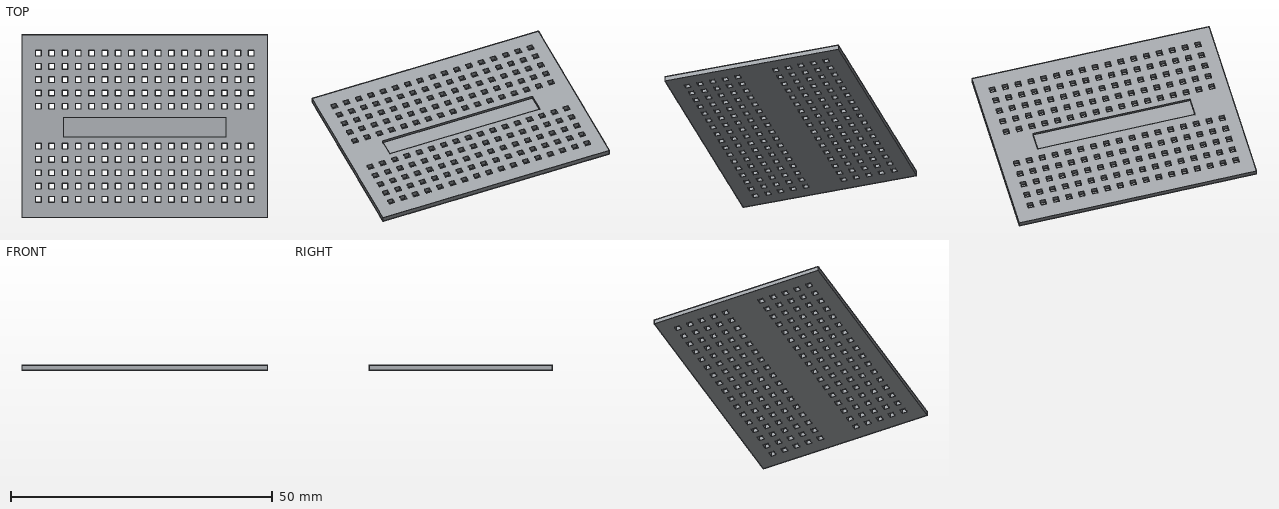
import cadquery as cq

plate_length = 47.0
plate_width = 35.0
plate_thickness = 1.0

columns = 17
rows_per_bank = 5
column_span = 40.7
pitch = column_span / (columns - 1)
bank_gap = 3 * pitch
bank_offset = bank_gap / 2 + (rows_per_bank - 1) * pitch / 2
hole_side = 1.05

pocket_length = 31.15
pocket_width = 3.7
pocket_depth = 0.45
pocket_center_y = -0.2


def make_plate():
    return cq.Workplane("XY").box(
        plate_length, plate_width, plate_thickness, centered=(True, True, False)
    )


def make_hole_bank(center_y):
    """Square pins that cut one bank of through-holes."""
    return (
        cq.Workplane("XY")
        .center(0, center_y)
        .rarray(pitch, pitch, columns, rows_per_bank)
        .rect(hole_side, hole_side)
        .extrude(plate_thickness)
    )


def make_pocket():
    return (
        cq.Workplane("XY", origin=(0, pocket_center_y, plate_thickness))
        .rect(pocket_length, pocket_width)
        .extrude(-pocket_depth)
    )


result = make_plate().cut(make_pocket())
for side in (-1, 1):
    result = result.cut(make_hole_bank(side * bank_offset))